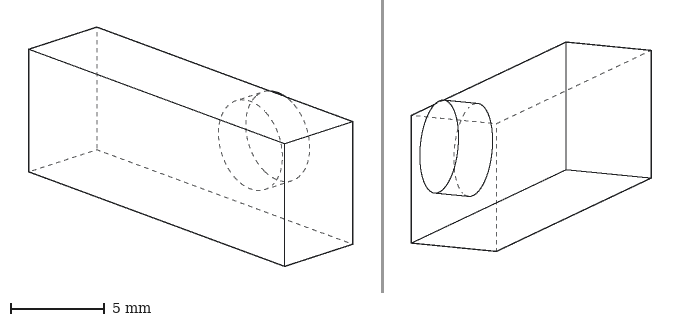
import cadquery as cq

length = 20.0
depth = 5.0
height = 7.0

boss_diameter = 5.0
boss_length = 2.0
boss_offset_x = 2.0

body = cq.Workplane("XY").box(length, depth, height)

boss = (
    cq.Workplane("XZ", origin=(boss_offset_x, depth / 2, 0))
    .circle(boss_diameter / 2)
    .extrude(-boss_length)
)

result = body.union(boss)